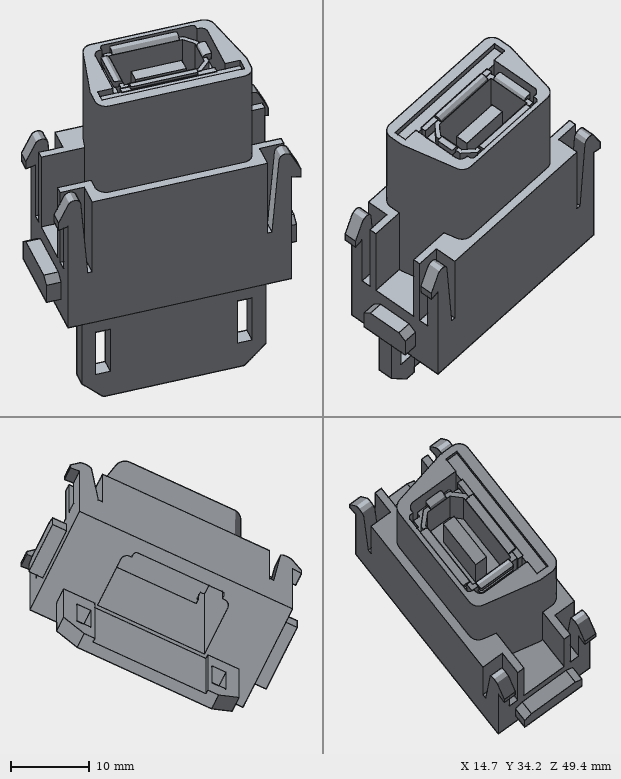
import cadquery as cq
import math

body_width = 14.65
body_depth = 30.25
body_bottom = 14.85
body_top = 35.0

recess_floor = 23.35
relief_width = 3.1
relief_wall_y = 11.85
latch_width = 1.8
latch_crest = (14.3, 35.9)
latch_crest_start = (13.4, 35.0)
latch_crest_end = (15.1, 35.35)
latch_root_y = 12.45
hook_tip_y = 16.4
hook_tip_top = 32.75
hook_tip_bottom = 31.5
hook_root_bottom = 31.8

pocket_width = 6.4

key_reach = 2.0
key_bottom = 17.5
key_height = 3.7
key_chamfer_x = 1.1
key_chamfer_z = 0.85
front_key_width = 9.2
back_key_width = 7.0

total_height = 49.4
tower_width = 12.35
tower_depth = 21.15
tower_taper_angle = 12.4
tower_taper_start_x = 2.8
tower_corner_radius = 1.5

opening_left = -4.7
opening_depth = 15.15
opening_corner_radius = 0.9
side_niche_left = -5.55
side_niche_depth = 12.85
side_niche_radius = 0.45

slot_left = 3.0
slot_right = 4.75
slot_depth = 19.25
board_top = 48.5
tail_left = 2.9
tail_right = 5.0
tail_depth = 24.9
tail_chamfer = 2.9
tail_web_left = 3.45
tail_web_depth = 16.0
window_width = 2.0
window_y = 9.6
window_bottom = 4.0
window_height = 7.0

connector_bottom = 34.6
shoulder_top = 46.95
shell_top = 48.5
shell_left = -4.85
shell_right = 2.4
shell_front = -6.2
shell_back = 6.18
shell_wall = 0.6
shell_chamfer = 1.6
cavity_floor = 39.5
mount_right = 3.2
mount_depth = 12.85
mount_top = 48.6
end_rib_width = 5.3
end_rib_reach = 0.6
end_rib_radius = 0.27
side_rib_depth = 10.28
side_rib_reach = 0.6

tongue_left = -2.07
tongue_right = -0.35
tongue_front = -3.35
tongue_back = 3.5
tongue_top = 47.05

side_lip_radius = 0.75
end_lip_radius = 0.6
lip_reach = 1.25
lip_corner_radius = 0.22
lip_top = 49.0
lip_height = 0.95
side_lip_length = 9.1
side_lip_y = -0.6
front_lip_length = 5.3
back_lip_length = 2.5


def block(x_min, x_max, y_min, y_max, z_min, z_max):
    return (
        cq.Workplane("XY")
        .box(x_max - x_min, y_max - y_min, z_max - z_min, centered=False)
        .translate((x_min, y_min, z_min))
    )


def with_mirror_y(shape):
    return shape.union(shape.mirror("XZ"))


def make_tower():
    half_width = tower_width / 2
    half_depth = tower_depth / 2
    taper_run = tower_taper_start_x + half_width
    left_half_depth = half_depth - taper_run * math.tan(math.radians(tower_taper_angle))
    outline = [
        (half_width, -half_depth),
        (half_width, half_depth),
        (tower_taper_start_x, half_depth),
        (-half_width, left_half_depth),
        (-half_width, -left_half_depth),
        (tower_taper_start_x, -half_depth),
    ]
    tower = (
        cq.Workplane("XY", origin=(0, 0, body_bottom))
        .polyline(outline)
        .close()
        .extrude(total_height - body_bottom)
    )
    return tower.edges("|Z and (>X or <X)").fillet(tower_corner_radius)


def make_latch():
    """Latch arm at the +X +Y corner, with its hook beyond the end of the housing."""
    half_depth = body_depth / 2
    return (
        cq.Workplane("YZ", origin=(body_width / 2 - latch_width, 0, 0))
        .moveTo(latch_root_y, recess_floor)
        .lineTo(*latch_crest_start)
        .threePointArc(latch_crest, latch_crest_end)
        .lineTo(hook_tip_y, hook_tip_top)
        .lineTo(hook_tip_y, hook_tip_bottom)
        .lineTo(half_depth, hook_root_bottom)
        .lineTo(half_depth, recess_floor)
        .close()
        .extrude(latch_width)
    )


def make_housing():
    half_width = body_width / 2
    half_depth = body_depth / 2
    half_pocket = pocket_width / 2
    housing = block(-half_width, half_width, -half_depth, half_depth, body_bottom, body_top)
    housing = housing.cut(block(-half_pocket, half_pocket, -half_depth, half_depth, recess_floor, body_top))
    relief = block(half_width - relief_width, half_width, relief_wall_y, half_depth, recess_floor, body_top)
    latch = make_latch()
    for side in (relief, relief.mirror("YZ")):
        housing = housing.cut(with_mirror_y(side))
    for side in (latch, latch.mirror("YZ")):
        housing = housing.union(with_mirror_y(side))
    return housing.union(make_tower())


def make_key(width):
    """Key with two sloped upper corners on the +Y end of the housing."""
    half_width = width / 2
    key_top = key_bottom + key_height
    outline = [
        (-half_width, key_bottom),
        (half_width, key_bottom),
        (half_width, key_top - key_chamfer_z),
        (half_width - key_chamfer_x, key_top),
        (key_chamfer_x - half_width, key_top),
        (-half_width, key_top - key_chamfer_z),
    ]
    return (
        cq.Workplane("XZ", origin=(0, body_depth / 2, 0))
        .polyline(outline)
        .close()
        .extrude(-key_reach)
    )


def make_opening():
    half_opening = opening_depth / 2
    half_niche = side_niche_depth / 2
    half_slot = slot_depth / 2
    opening = block(opening_left, slot_left, -half_opening, half_opening, 0, total_height)
    opening = opening.edges("|Z and <X").fillet(opening_corner_radius)
    niche = block(side_niche_left, slot_left, -half_niche, half_niche, 0, total_height)
    niche = niche.edges("|Z and <X").fillet(side_niche_radius)
    slot = block(slot_left, slot_right, -half_slot, half_slot, board_top, total_height)
    return opening.union(niche).union(slot)


def make_tail():
    half_depth = tail_depth / 2
    half_web = tail_web_depth / 2
    tail = block(tail_left, tail_right, -half_depth, half_depth, 0, body_bottom)
    tail = tail.edges("|X and <Z").chamfer(tail_chamfer)
    tail = tail.cut(block(tail_left, tail_web_left, -half_web, half_web, 0, body_bottom))
    window = block(
        tail_left,
        tail_right,
        window_y - window_width / 2,
        window_y + window_width / 2,
        window_bottom,
        window_bottom + window_height,
    )
    return tail.cut(with_mirror_y(window))


def shell_prism(inset, z_min, z_max):
    """Prism of the shell outline moved inward by an even wall, with its two +Y corners cut off."""
    prism = block(
        shell_left + inset,
        shell_right - inset,
        shell_front + inset,
        shell_back - inset,
        z_min,
        z_max,
    )
    chamfer = shell_chamfer - inset * (2 - math.sqrt(2))
    return prism.edges("|Z and >Y").chamfer(chamfer)


def make_lip(length, roll_radius):
    """Lip that rolls outward along +X, starting at the inner face of the shell wall (x = 0)."""
    roll_bottom = lip_top - roll_radius
    lip_bottom = lip_top - lip_height
    arc_inset = roll_radius * (1 - math.sqrt(0.5))
    return (
        cq.Workplane("XZ", origin=(0, length / 2, 0))
        .moveTo(0, lip_bottom)
        .lineTo(0, roll_bottom)
        .threePointArc((arc_inset, lip_top - arc_inset), (roll_radius, lip_top))
        .lineTo(lip_reach, lip_top)
        .lineTo(lip_reach, lip_bottom)
        .close()
        .extrude(length)
        .edges("|Z and >X")
        .fillet(lip_corner_radius)
    )


def make_lips():
    middle_x = (shell_left + shell_right) / 2
    places = [
        (side_lip_length, side_lip_radius, 0, shell_right - shell_wall, side_lip_y),
        (side_lip_length, side_lip_radius, 180, shell_left + shell_wall, side_lip_y),
        (back_lip_length, end_lip_radius, 90, middle_x, shell_back - shell_wall),
        (front_lip_length, end_lip_radius, -90, middle_x, shell_front + shell_wall),
    ]
    return [
        make_lip(length, radius).rotate((0, 0, 0), (0, 0, 1), angle).translate((x, y, 0))
        for length, radius, angle, x, y in places
    ]


def make_connector():
    middle_x = (shell_left + shell_right) / 2
    half_mount = mount_depth / 2
    half_rib = end_rib_width / 2
    half_side_rib = side_rib_depth / 2
    connector = block(shell_left, shell_right, shell_front, shell_back, connector_bottom, shoulder_top)
    end_ribs = block(
        middle_x - half_rib,
        middle_x + half_rib,
        shell_front - end_rib_reach,
        shell_back + end_rib_reach,
        connector_bottom,
        shoulder_top,
    )
    connector = connector.union(end_ribs.edges("|Z").fillet(end_rib_radius))
    connector = connector.union(
        block(
            shell_left - side_rib_reach,
            shell_left,
            -half_side_rib,
            half_side_rib,
            connector_bottom,
            shoulder_top,
        )
    )
    connector = connector.union(shell_prism(0, connector_bottom, shell_top))
    connector = connector.union(
        block(shell_right, mount_right, -half_mount, half_mount, connector_bottom, mount_top)
    )
    connector = connector.cut(shell_prism(shell_wall, cavity_floor, shell_top))
    for lip in make_lips():
        connector = connector.union(lip)
    tongue = block(tongue_left, tongue_right, tongue_front, tongue_back, cavity_floor, tongue_top)
    return connector.union(tongue)


result = (
    make_housing()
    .union(make_key(back_key_width))
    .union(make_key(front_key_width).mirror("XZ"))
    .cut(make_opening())
    .union(make_tail())
    .union(make_connector())
)